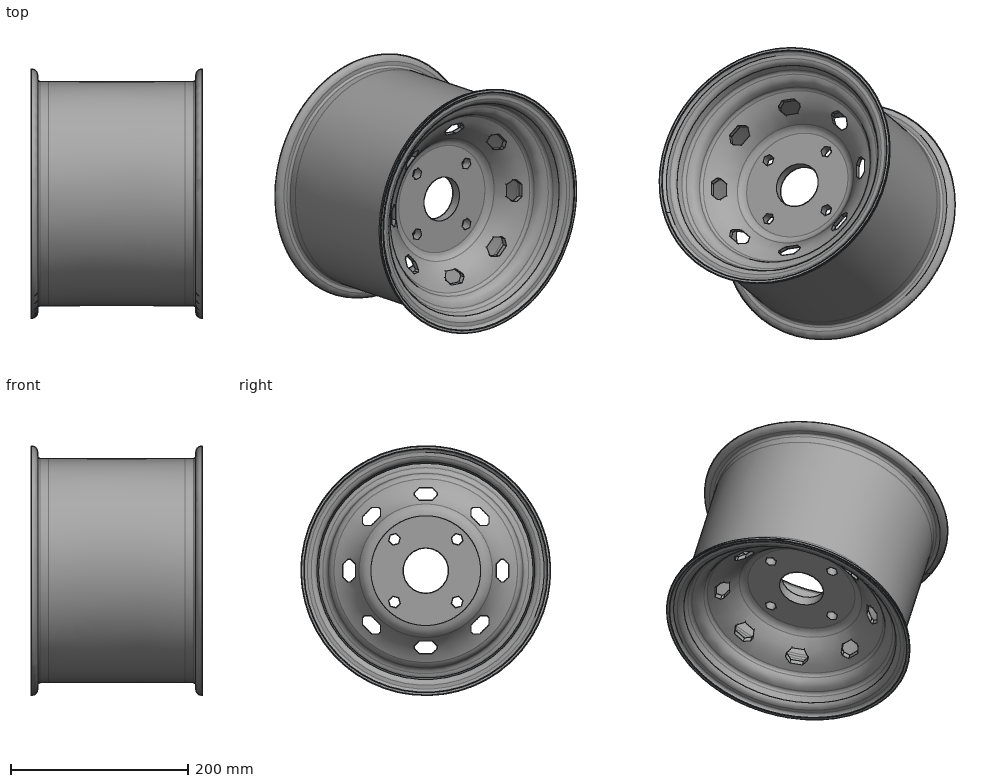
import cadquery as cq
import math


rim_width = 193.45
rim_radius = 140.9
rim_thickness = 3.8
barrel_radius = 126.6
barrel_waist = 0.1
bead_seat_end = 19.5
flange_face = 7.8
flange_roll = 7.3
flange_root = 2.6
lip_fillet = 0.6

band_height = 1.8
band_blend = 5.6
band_start = 77.0
band_end = 163.0

disc_thickness = 5.0
disc_edge = 16.9
disc_edge_radius = 120.0
disc_taper_start = 9.5
disc_arcs = [(3.8, 90), (11.4, -90), (4.5, 70), (59.0, -40), (10.4, 60)]

hub_thickness = 12.4
bore_radius = 25.5
bolt_circle_radius = 50.0
bolt_hole_radius = 6.6
bolt_count = 4
slot_count = 8
slot_circle_radius = 86.5
slot_length = 25.5
slot_width = 14.0
slot_corner = 5.5

rim_inner_radius = barrel_radius - rim_thickness
half_diagonal = math.sqrt(0.5)


def revolve_about_x(profile):
    return profile.close().revolve(360, (0, 0, 0), (1, 0, 0))


def make_rim():
    """Barrel with a rolled flange at each end, symmetric about mid width."""
    roll_x = flange_face - flange_roll
    roll_y = rim_radius - flange_roll
    roll_inner = flange_roll - rim_thickness
    root_x = flange_face + flange_root
    root_y = barrel_radius + flange_root
    root_inner = flange_root + rim_thickness
    web_x = flange_face - rim_thickness

    def left(x, y):
        return (x, y)

    def right(x, y):
        return (rim_width - x, y)

    def on_arc(x, y, x_sign, y_sign, radius):
        return (x + x_sign * radius * half_diagonal, y + y_sign * radius * half_diagonal)

    roll_mid = on_arc(roll_x, roll_y, 1, 1, flange_roll)
    root_mid = on_arc(root_x, root_y, -1, -1, flange_root)
    roll_inner_mid = on_arc(roll_x, roll_y, 1, 1, roll_inner)
    root_inner_mid = on_arc(root_x, root_y, -1, -1, root_inner)

    profile = (
        cq.Workplane("XZ")
        .moveTo(*left(0, rim_radius))
        .lineTo(*left(roll_x, rim_radius))
        .threePointArc(left(*roll_mid), left(flange_face, roll_y))
        .lineTo(*left(flange_face, root_y))
        .threePointArc(left(*root_mid), left(root_x, barrel_radius))
        .lineTo(*left(bead_seat_end, barrel_radius))
        .threePointArc((rim_width / 2, barrel_radius - barrel_waist), right(bead_seat_end, barrel_radius))
        .lineTo(*right(root_x, barrel_radius))
        .threePointArc(right(*root_mid), right(flange_face, root_y))
        .lineTo(*right(flange_face, roll_y))
        .threePointArc(right(*roll_mid), right(roll_x, rim_radius))
        .lineTo(*right(0, rim_radius))
        .lineTo(*right(0, roll_y + roll_inner))
        .lineTo(*right(roll_x, roll_y + roll_inner))
        .threePointArc(right(*roll_inner_mid), right(web_x, roll_y))
        .lineTo(*right(web_x, root_y))
        .threePointArc(right(*root_inner_mid), right(root_x, rim_inner_radius))
        .lineTo(*left(root_x, rim_inner_radius))
        .threePointArc(left(*root_inner_mid), left(web_x, root_y))
        .lineTo(*left(web_x, roll_y))
        .threePointArc(left(*roll_inner_mid), left(roll_x, roll_y + roll_inner))
        .lineTo(*left(0, roll_y + roll_inner))
    )
    rim = revolve_about_x(profile)
    return rim.faces("<X or >X").edges().fillet(lip_fillet)


def disc_curve(start, offset):
    """Tangent arcs of the disc surface lying `offset` behind the front: [(middle, end), ...]."""
    x, y = start
    heading = 0.0
    arcs = []
    for front_radius, turn in disc_arcs:
        side = math.copysign(1, turn)
        radius = front_radius + side * offset
        centre_x = x - side * radius * math.sin(heading)
        centre_y = y - side * radius * math.cos(heading)

        def point_at(angle):
            return (
                centre_x + side * radius * math.sin(angle),
                centre_y + side * radius * math.cos(angle),
            )

        end_heading = heading + math.radians(turn)
        middle = point_at((heading + end_heading) / 2)
        x, y = point_at(end_heading)
        arcs.append((middle, (x, y)))
        heading = end_heading
    return arcs


def make_disc():
    """Pressed disc of constant thickness with a thicker hub pad behind the flat centre."""
    back_edge_radius = disc_edge_radius + disc_thickness
    front = disc_curve((disc_edge, disc_edge_radius), 0)
    back = disc_curve((disc_edge, back_edge_radius), disc_thickness)
    front_flat_x = front[-1][1][0]
    pad_radius = back[-1][1][1]
    pad_x = front_flat_x + hub_thickness

    profile = (
        cq.Workplane("XZ")
        .moveTo(disc_taper_start, rim_inner_radius)
        .lineTo(disc_edge, disc_edge_radius)
    )
    for middle, end in front:
        profile = profile.threePointArc(middle, end)
    profile = (
        profile.lineTo(front_flat_x, bore_radius)
        .lineTo(pad_x, bore_radius)
        .lineTo(pad_x, pad_radius)
        .lineTo(*back[-1][1])
    )
    back_starts = [(disc_edge, back_edge_radius)] + [end for _, end in back[:-1]]
    for (middle, _), start in zip(reversed(back), reversed(back_starts)):
        profile = profile.threePointArc(middle, start)
    profile = profile.lineTo(disc_taper_start, back_edge_radius)
    return revolve_about_x(profile)


def make_band():
    """Ring that thickens the middle of the barrel, with an S-shaped blend at each end."""
    ring_outer_radius = rim_inner_radius + rim_thickness / 2
    band_radius = rim_inner_radius - band_height
    half_length = band_blend / 2
    half_height = band_height / 2
    blend_radius = (half_length**2 + half_height**2) / (2 * half_height)
    half_angle = math.asin(half_length / blend_radius) / 2
    mid_length = blend_radius * math.sin(half_angle)
    mid_height = blend_radius * (1 - math.cos(half_angle))
    middle_radius = rim_inner_radius - half_height
    front_top = band_start + band_blend
    rear_top = band_end - band_blend

    profile = (
        cq.Workplane("XZ")
        .moveTo(band_start, ring_outer_radius)
        .lineTo(band_start, rim_inner_radius)
        .threePointArc(
            (band_start + mid_length, rim_inner_radius - mid_height),
            (band_start + half_length, middle_radius),
        )
        .threePointArc(
            (front_top - mid_length, band_radius + mid_height),
            (front_top, band_radius),
        )
        .lineTo(rear_top, band_radius)
        .threePointArc(
            (rear_top + mid_length, band_radius + mid_height),
            (rear_top + half_length, middle_radius),
        )
        .threePointArc(
            (band_end - mid_length, rim_inner_radius - mid_height),
            (band_end, rim_inner_radius),
        )
        .lineTo(band_end, ring_outer_radius)
    )
    return revolve_about_x(profile)


def bolt_holes():
    return (
        cq.Workplane("YZ")
        .polarArray(bolt_circle_radius, 180 / bolt_count, 360, bolt_count)
        .circle(bolt_hole_radius)
        .extrude(rim_width)
    )


def vent_slots():
    """Axial slots, long side tangential to the wheel."""
    return (
        cq.Workplane("YZ")
        .polarArray(slot_circle_radius, 0, 360, slot_count)
        .rect(slot_width, slot_length)
        .extrude(rim_width)
        .edges("|X")
        .fillet(slot_corner)
    )


disc = make_disc().cut(bolt_holes()).cut(vent_slots())
result = make_rim().union(make_band()).union(disc)